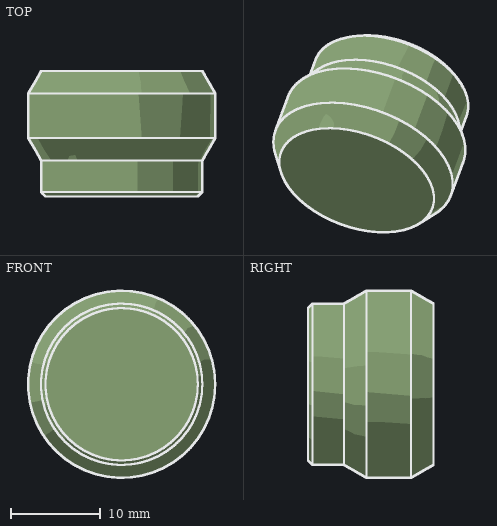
import cadquery as cq
import math

body_radius = 10.44
total_length = 14.0
nose_length = 4.0
nose_chamfer = 0.5
taper_length = 2.5
taper_angle = 30.0

nose_radius = body_radius - taper_length * math.tan(math.radians(taper_angle))
band_start = nose_length + taper_length
band_end = total_length - taper_length

half_section = [
    (0, 0),
    (nose_radius - nose_chamfer, 0),
    (nose_radius, nose_chamfer),
    (nose_radius, nose_length),
    (body_radius, band_start),
    (body_radius, band_end),
    (nose_radius, total_length),
    (0, total_length),
]

result = (
    cq.Workplane("XY")
    .polyline(half_section)
    .close()
    .revolve(360, (0, 0, 0), (0, 1, 0))
)